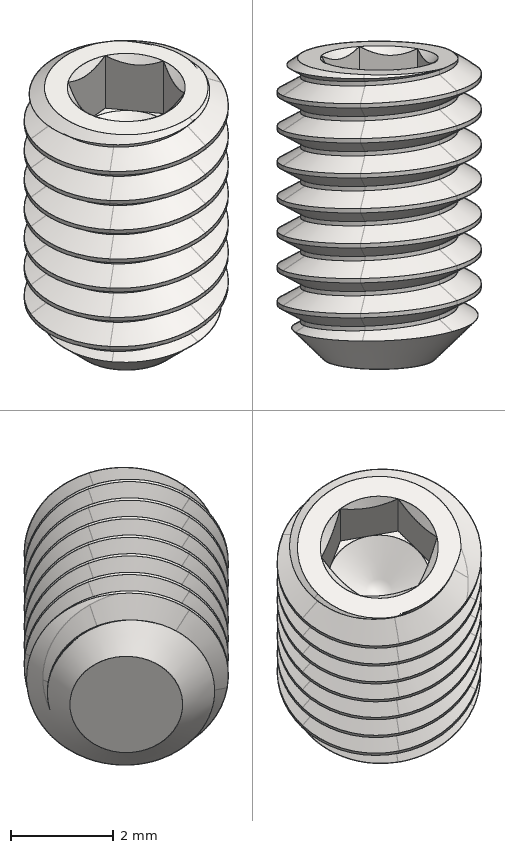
import cadquery as cq
import math

length = 6.0
major_diameter = length * 2 / 3
pitch = major_diameter * 0.7 / 4

flank_angle = 30.0
crest_flat = pitch / 8
root_flat = pitch / 8
thread_depth = (pitch - crest_flat - root_flat) / 2 / math.tan(math.radians(flank_angle))
major_radius = major_diameter / 2
root_radius = major_radius - thread_depth
first_crest_height = 0.56
arcs_per_turn = 6

point_radius = 1.105
point_angle = 45.0
top_face_radius = 1.6
top_bevel_angle = 36.0

socket_sides = 6
socket_flat_radius = major_diameter / 4
socket_corner_radius = socket_flat_radius / math.cos(math.pi / socket_sides)
socket_depth = 1.26
socket_bevel_angle = 45.0
drill_tip_angle = 120.0


def widening_cone(face_radius, rise_angle):
    """Full-length cone frustum that widens upward from a flat end face at Z = 0."""
    wide_radius = face_radius + length / math.tan(math.radians(rise_angle))
    return cq.Workplane(obj=cq.Solid.makeCone(face_radius, wide_radius, length))


def downward_cone(radius, base_height, depth):
    """Pointed cone hanging below a circle at base_height."""
    apex = cq.Vector(0, 0, base_height - depth)
    return cq.Workplane(obj=cq.Solid.makeCone(0, radius, depth, apex))


def end_cones():
    """Region common to the point cone and the top bevel cone, wider than the thread."""
    point_cone = widening_cone(point_radius, point_angle)
    top_cone = widening_cone(top_face_radius, top_bevel_angle).mirror("XY").translate((0, 0, length))
    return point_cone.intersect(top_cone)


def socket():
    """Hexagon recess with corners on the Y axis, its conical floor and its bevelled mouth."""
    floor_height = length - socket_depth
    tip_depth = socket_flat_radius / math.tan(math.radians(drill_tip_angle / 2))
    bevel_cone_depth = socket_corner_radius * math.tan(math.radians(socket_bevel_angle))
    hexagon = (
        cq.Workplane("XY")
        .workplane(offset=floor_height)
        .transformed(rotate=(0, 0, 90))
        .polygon(socket_sides, 2 * socket_corner_radius)
        .extrude(socket_depth)
    )
    drill_tip = downward_cone(socket_flat_radius, floor_height, tip_depth)
    mouth_bevel = downward_cone(socket_corner_radius, length, bevel_cone_depth)
    return hexagon.union(drill_tip).union(mouth_bevel)


def thread_surface():
    """Open helical skin of the thread, overrunning both end faces of the screw.

    Ruled strips join the corners of the axial thread profile along helices.
    One arc of strips is made and repeated up the screw.
    """
    half_crest = crest_flat / 2
    half_root = root_flat / 2
    profile = [
        (major_radius, -half_crest),
        (major_radius, half_crest),
        (root_radius, pitch / 2 - half_root),
        (root_radius, pitch / 2 + half_root),
        (major_radius, pitch - half_crest),
    ]
    arc_rise = pitch / arcs_per_turn
    arc_angle = 360 / arcs_per_turn
    helices = [
        cq.Wire.makeHelix(pitch, arc_rise, radius, cq.Vector(0, 0, height)).Edges()[0]
        for radius, height in profile
    ]
    strips = [cq.Face.makeRuledSurface(lower, upper) for lower, upper in zip(helices, helices[1:])]

    start_height = first_crest_height - 2 * pitch
    end_height = length + pitch
    arc_count = math.ceil((end_height - start_height) / arc_rise)
    faces = []
    for arc in range(arc_count):
        base = cq.Vector(0, 0, start_height + arc * arc_rise)
        place = cq.Location(base, cq.Vector(0, 0, 1), arc * arc_angle)
        faces += [strip.moved(place) for strip in strips]
    return cq.Shell.makeShell(faces)


blank = end_cones().cut(socket())
pieces = blank.split(thread_surface()).solids().vals()
screw = min(pieces, key=lambda piece: piece.Volume())
result = cq.Workplane(obj=screw)